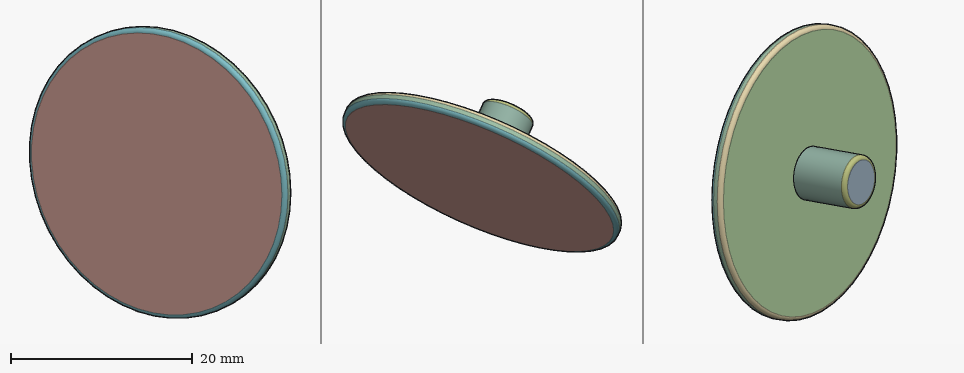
import cadquery as cq

disc_diameter = 33.0
disc_thickness = 1.5
total_depth = 8.5
pin_diameter = 6.0
edge_radius = 0.5

pin_length = total_depth - disc_thickness


def rounded_disc():
    """Flat disc facing -Y, with both rims rounded and its back on the plane Y = 0."""
    disc = cq.Workplane("XZ").circle(disc_diameter / 2).extrude(disc_thickness)
    return disc.edges().fillet(edge_radius)


def pin():
    """Round pin standing on the back of the disc, with a rounded free end."""
    post = cq.Workplane("XZ").circle(pin_diameter / 2).extrude(-pin_length)
    return post.faces(">Y").edges().fillet(edge_radius)


result = rounded_disc().union(pin())